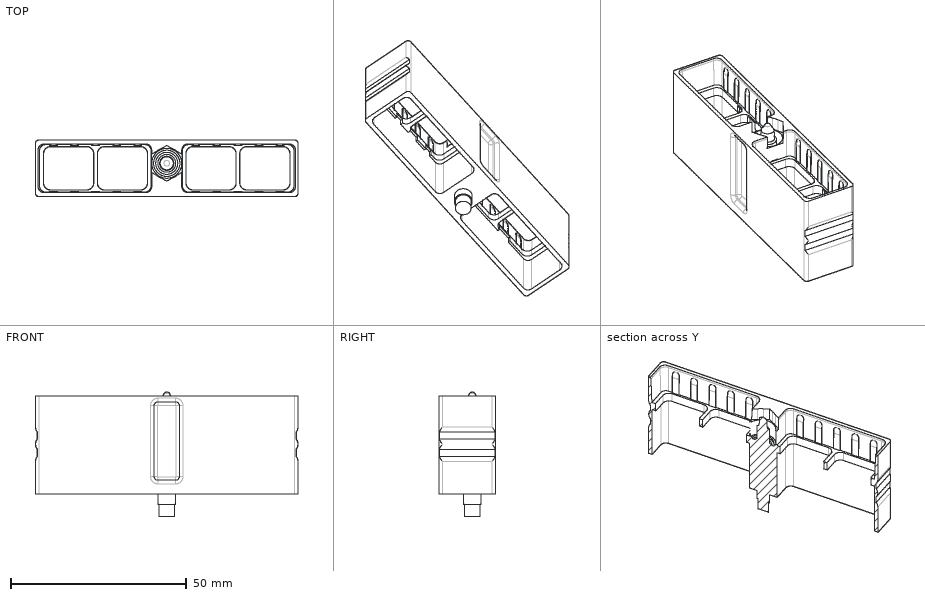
import cadquery as cq
import math

LENGTH = 74.9
WIDTH = 16.2
HEIGHT = 28.0
CORNER_RADIUS = 1.0

MOUTH = {"depth": 0, "web": 4.3, "end": 0.75, "side": 1.1, "corner": 1.8}
LIP = {"depth": 0.6, "web": 4.35, "end": 0.9, "side": 1.2, "corner": 1.7}
FLOOR = {"depth": 9.0, "web": 4.5, "end": 1.2, "side": 1.35, "corner": 1.65}

SHELF_THICKNESS = 2.8
WINDOW_LENGTH = 14.2
WINDOW_WIDTH = 12.3
WINDOW_CORNER = 1.95
WINDOW_BAR = 1.1
COMPARTMENT_CENTRE = 20.3

RELIEF_SPANS = [(-24.7, -22.2), (-18.7, -15.05), (-11.3, -8.9), (22.85, 27.65)]
RELIEF_TOP_GAP = 0.6

RIB_COUNT = 5
RIB_PITCH = 6.0
RIB_WIDTH = 2.2
RIB_DEPTH = 0.19
RIB_TOP_GAP = 1.3
RIB_SLOPE_HEIGHT = 2.1

PIN_Y = 1.4
SOCKET_HEX_CORNER = 5.1
SOCKET_RADIUS = 4.5
SOCKET_DEPTH = 3.9
BORE_RADIUS = 4.3
BORE_DEPTH = 9.0
SEAT_RADIUS = 3.75
SEAT_DEPTH = 9.6

PIN_TIP_HEIGHT = 1.1
PIN_CAP_HEIGHT = 0.6
PIN_CAP_RADIUS = 0.8
PIN_CONE_RADIUS = 1.9
PIN_CONE_DEPTH = 1.1
PIN_NECK_RADIUS = 2.0
PIN_NECK_DEPTH = 4.0
PIN_COLLAR_RADIUS = 2.55
PIN_COLLAR_DEPTH = 4.4
PIN_FOOT_RADIUS = 3.15
PIN_FOOT_HEIGHT = 0.6
PIN_STUB_RADIUS = 2.25
PIN_COLLAR_BELOW = 2.9
PIN_BELOW = 6.45

RECESS_LENGTH = 7.2
RECESS_BOTTOM = 4.0
RECESS_TOP = 26.3
RECESS_DEPTH = 2.5
RECESS_CORNER = 1.05
RECESS_FLOOR_FILLET = 1.0
RECESS_MOUTH_FILLET = 1.05

GROOVE_CENTRE = 14.2
GROOVE_DEPTH = 0.5
GROOVE_ROUND = 2.25
GROOVE_FLAT = 2.0

SHELF_TOP = HEIGHT - FLOOR["depth"]
SHELF_BOTTOM = SHELF_TOP - SHELF_THICKNESS
FLOOR_HALF_WIDTH = WIDTH / 2 - FLOOR["side"]


def rounded_box(x_min, x_max, y_half, z_min, z_max, radius):
    """Box centred on Y = 0 with rounded vertical edges."""
    box = cq.Workplane("XY").box(x_max - x_min, 2 * y_half, z_max - z_min, centered=(False, True, False))
    return box.edges("|Z").fillet(radius).translate((x_min, 0, z_min))


def level_outline(level):
    """Rounded outline of the +X compartment at one depth."""
    x_max = LENGTH / 2 - level["end"]
    x_min = level["web"]
    outline = cq.Sketch().rect(x_max - x_min, WIDTH - 2 * level["side"]).vertices().fillet(level["corner"])
    return outline.moved(cq.Location(cq.Vector((x_max + x_min) / 2, 0, HEIGHT - level["depth"])))


def compartment():
    """Empty space of the +X compartment: drafted pocket, windows and open underside."""
    space = cq.Workplane("XY")
    for upper, lower in ((MOUTH, LIP), (LIP, FLOOR)):
        stretch = cq.Workplane("XY").placeSketch(level_outline(lower), level_outline(upper)).loft()
        space = space.union(stretch)

    underside = rounded_box(
        FLOOR["web"], LENGTH / 2 - FLOOR["end"], FLOOR_HALF_WIDTH, 0, SHELF_BOTTOM, FLOOR["corner"]
    )
    space = space.union(underside)

    for side in (-1, 1):
        centre = COMPARTMENT_CENTRE + side * (WINDOW_LENGTH + WINDOW_BAR) / 2
        start = centre - WINDOW_LENGTH / 2
        end = centre + WINDOW_LENGTH / 2
        window = rounded_box(start, end, WINDOW_WIDTH / 2, SHELF_BOTTOM, SHELF_TOP, WINDOW_CORNER)
        space = space.union(window)
    return space


def relief_slots():
    """Slots cut up from the underside of the shelf into the rear walls of the windows."""
    slots = cq.Workplane("XY")
    height = SHELF_THICKNESS - RELIEF_TOP_GAP
    for start, end in RELIEF_SPANS:
        slot = cq.Workplane("XY").box(end - start, FLOOR_HALF_WIDTH, height, centered=False)
        slots = slots.union(slot.translate((start, 0, SHELF_BOTTOM)))
    return slots


def guide_ribs():
    """Ribs on both long walls of the +X compartment, round-topped and sloping into the wall."""
    wall = WIDTH / 2 - LIP["side"]
    face = FLOOR_HALF_WIDTH - RIB_DEPTH
    root = WIDTH / 2 - LIP["side"] / 2
    bottom = SHELF_TOP
    top = HEIGHT - RIB_TOP_GAP
    slope_start = top - RIB_SLOPE_HEIGHT
    radius = RIB_WIDTH / 2
    front = (
        cq.Workplane("XZ")
        .moveTo(-radius, bottom)
        .lineTo(radius, bottom)
        .lineTo(radius, top - radius)
        .threePointArc((0, top), (-radius, top - radius))
        .close()
        .extrude(-root)
    )
    side = (
        cq.Workplane("YZ")
        .polyline([(face, bottom), (root, bottom), (root, top), (wall, top), (face, slope_start)])
        .close()
        .extrude(radius, both=True)
    )
    rib = front.intersect(side)
    ribs = cq.Workplane("XY")
    for index in range(RIB_COUNT):
        x = COMPARTMENT_CENTRE + (index - (RIB_COUNT - 1) / 2) * RIB_PITCH
        placed = rib.translate((x, 0, 0))
        ribs = ribs.union(placed).union(placed.mirror("XZ"))
    return ribs


def socket():
    """Hexagon-and-circle socket with a round bore and a shallow seat below it."""
    def cylinder(radius, depth):
        return cq.Workplane("XY").circle(radius).extrude(-depth)

    hexagon = cq.Workplane("XY").polygon(6, 2 * SOCKET_HEX_CORNER).extrude(-SOCKET_DEPTH)
    hexagon = hexagon.rotate((0, 0, 0), (0, 0, 1), 30)
    space = hexagon.union(cylinder(SOCKET_RADIUS, SOCKET_DEPTH))
    space = space.union(cylinder(BORE_RADIUS, BORE_DEPTH)).union(cylinder(SEAT_RADIUS, SEAT_DEPTH))
    return space.translate((0, PIN_Y, HEIGHT))


def pin():
    """Pin turned about its own axis, from the rounded tip down to the stub below the block."""
    collar_end = -PIN_COLLAR_BELOW
    foot = HEIGHT - SEAT_DEPTH
    tip = HEIGHT + PIN_TIP_HEIGHT
    cap = HEIGHT + PIN_CAP_HEIGHT
    cap_rise = tip - cap
    tip_radius = (PIN_CAP_RADIUS**2 + cap_rise**2) / (2 * cap_rise)
    mid_angle = math.asin(PIN_CAP_RADIUS / tip_radius) / 2
    tip_middle = (tip_radius * math.sin(mid_angle), tip - tip_radius * (1 - math.cos(mid_angle)))
    profile = [
        (PIN_CONE_RADIUS, HEIGHT - PIN_CONE_DEPTH),
        (PIN_NECK_RADIUS, HEIGHT - PIN_NECK_DEPTH),
        (PIN_COLLAR_RADIUS, HEIGHT - PIN_COLLAR_DEPTH),
        (PIN_COLLAR_RADIUS, foot + PIN_FOOT_HEIGHT),
        (PIN_FOOT_RADIUS, foot),
        (PIN_COLLAR_RADIUS, foot),
        (PIN_COLLAR_RADIUS, collar_end),
        (PIN_STUB_RADIUS, collar_end),
        (PIN_STUB_RADIUS, -PIN_BELOW),
        (0, -PIN_BELOW),
    ]
    outline = cq.Workplane("XZ").moveTo(0, tip).threePointArc(tip_middle, (PIN_CAP_RADIUS, cap))
    for point in profile:
        outline = outline.lineTo(*point)
    return outline.close().revolve().translate((0, PIN_Y, 0))


def grip_recess():
    """Recess in the front face, with rounded corners and floor."""
    recess = (
        cq.Workplane("XY")
        .box(RECESS_LENGTH, RECESS_DEPTH, RECESS_TOP - RECESS_BOTTOM, centered=(True, False, False))
        .edges("|Y")
        .fillet(RECESS_CORNER)
        .faces(">Y")
        .edges()
        .fillet(RECESS_FLOOR_FILLET)
    )
    return recess.translate((0, -WIDTH / 2, RECESS_BOTTOM))


def end_grooves():
    """Groove pair at the +X end: rounded shoulders, flat floors and a rounded bead between them."""
    end = LENGTH / 2
    floor = end - GROOVE_DEPTH
    run = math.sqrt(2 * GROOVE_ROUND * GROOVE_DEPTH - GROOVE_DEPTH**2)
    bead = run
    flat_end = bead + GROOVE_FLAT
    shoulder = flat_end + run
    mid_z = run / 2
    mid_x = end - GROOVE_ROUND + math.sqrt(GROOVE_ROUND**2 - mid_z**2)
    return (
        cq.Workplane("XZ")
        .moveTo(end, -shoulder)
        .threePointArc((mid_x, -shoulder + mid_z), (floor, -flat_end))
        .lineTo(floor, -bead)
        .threePointArc((end, 0), (floor, bead))
        .lineTo(floor, flat_end)
        .threePointArc((mid_x, shoulder - mid_z), (end, shoulder))
        .lineTo(end + GROOVE_DEPTH, shoulder)
        .lineTo(end + GROOVE_DEPTH, -shoulder)
        .close()
        .extrude(WIDTH, both=True)
        .translate((0, 0, GROOVE_CENTRE))
    )


def both_ends(shape):
    """The shape together with its mirror image on the -X side."""
    return shape.union(shape.mirror("YZ"))


def block_with_recess():
    """Outer block with the grip recess cut and the mouth of the recess rounded over."""
    front = -WIDTH / 2
    solid = rounded_box(-LENGTH / 2, LENGTH / 2, WIDTH / 2, 0, HEIGHT, CORNER_RADIUS)
    solid = solid.cut(grip_recess())
    mouth_edges = cq.selectors.BoxSelector(
        (-RECESS_LENGTH, front - RECESS_DEPTH / 2, RECESS_BOTTOM / 2),
        (RECESS_LENGTH, front + RECESS_DEPTH / 2, (HEIGHT + RECESS_TOP) / 2),
    )
    return solid.edges(mouth_edges).edges("<Y").fillet(RECESS_MOUTH_FILLET)


block = block_with_recess()
block = block.cut(both_ends(end_grooves()))
block = block.cut(both_ends(compartment()))
block = block.cut(relief_slots())
block = block.union(both_ends(guide_ribs()))
block = block.cut(socket())
result = block.union(pin())